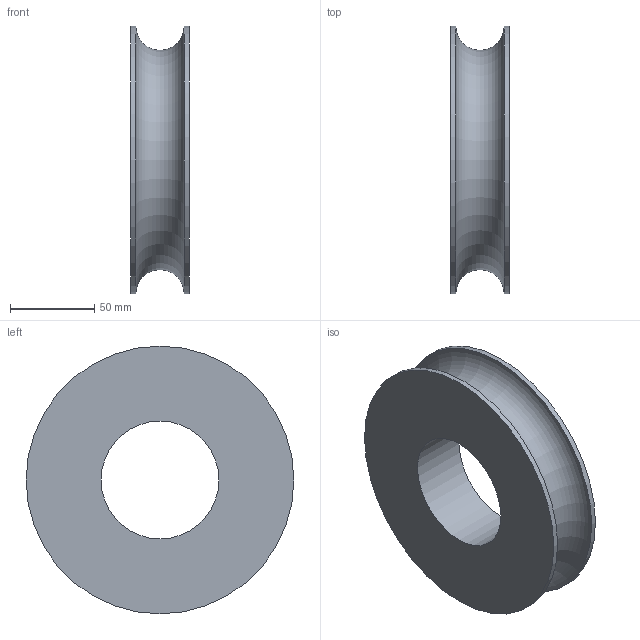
import cadquery as cq

outer_diameter = 158.75
bore_diameter = 69.85
wheel_width = 34.925
lip_width = 3.175

outer_radius = outer_diameter / 2
groove_radius = wheel_width / 2 - lip_width


def make_wheel_blank():
    """Flat disc with a through bore, centred on the origin."""
    return (
        cq.Workplane("YZ")
        .circle(outer_radius)
        .circle(bore_diameter / 2)
        .extrude(wheel_width / 2, both=True)
    )


def make_groove_ring():
    """Ring of round section centred on the rim, which leaves a half-round groove."""
    return (
        cq.Workplane("XY")
        .center(0, outer_radius)
        .circle(groove_radius)
        .revolve(360, (0, -outer_radius, 0), (1, -outer_radius, 0))
    )


result = make_wheel_blank().cut(make_groove_ring())